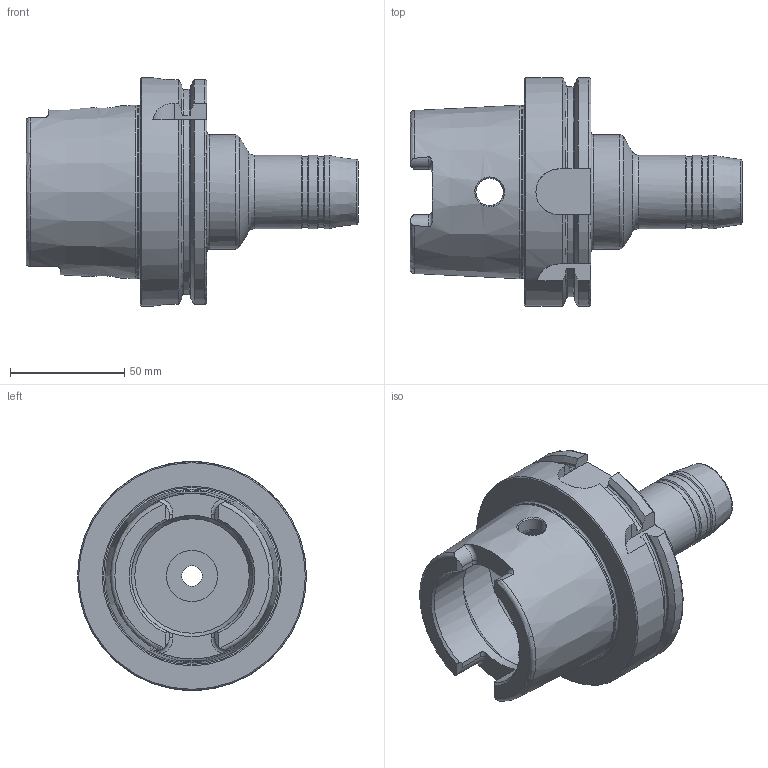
import math

import cadquery as cq


overall_length = 145.0
shank_length = 50.0
taper_end_diameter = 75.8
taper_end_x = -2.2
taper_slope = 0.05
shank_lip_fillet = 1.9
neck_diameter = 75.42
neck_start_x = -1.45
neck_fillet = 0.9
face_recess_depth = 0.15
face_recess_radius = 39.2

bore_diameter = 53.0
bore_mouth_chamfer = 1.0
bore_lip_x = -31.0
clamp_groove_diameter = 63.0
clamp_groove_end_x = -10.0
clamp_shoulder_angle = 48.0
bore_floor_diameter = 50.0
bore_floor_x = 0.0
seat_diameter = 22.38
seat_depth = 10.0
coolant_diameter = 8.92

slot_width = 20.0
slot_round_radius = 5.5
slot_round_top = 32.5
slot_floor_fillet = 1.7
slot_mouth_chamfer = 1.7
upper_slot_depth = 9.7
lower_slot_depth = 15.0

cross_hole_diameter = 12.0
cross_hole_chamfer = 0.5
cross_hole_x = -15.2

flange_diameter = 100.0
flange_width = 29.0
flange_front_chamfer = 0.5
flange_back_fillet = 1.0
gripper_center_x = 20.0
gripper_mouth_width = 6.8
gripper_floor_width = 3.8
gripper_floor_radius = 45.9
gripper_corner_fillet = 0.7
gripper_wall_angle = 30.0

notch_width = 20.0
notch_center_x = 15.0
notch_floor_height = 44.3
corner_notch_offset = 31.5

nose_end_x = overall_length - shank_length
boss_diameter = 50.0
boss_root_fillet = 1.2
boss_edge_fillet = 2.0
nose_diameter = 32.0
nose_cone_end_x = 48.1
nose_cone_angle = 59.0
nose_cone_fillet = 3.0
tip_taper_x = 82.4
tip_diameter = 28.2
tip_fillet = 1.0
ring_groove_diameter = 31.0
ring_groove_starts = (70.3, 77.3)
ring_groove_width = 3.2

OVERCUT = 5.0
MARGIN = 0.01


def outer_body():
    """Turned outside shape of shank, flange and nose, with its rounded edges."""
    cone_length = (boss_diameter - nose_diameter) / 2 / math.tan(math.radians(nose_cone_angle))
    boss_edge_x = nose_cone_end_x - cone_length
    flange_r = flange_diameter / 2
    neck_r = neck_diameter / 2
    taper_r = taper_end_diameter / 2
    tip_r = taper_r + taper_slope * (-shank_length - taper_end_x)
    profile = (
        cq.Workplane("XY")
        .moveTo(-shank_length, 0)
        .lineTo(-shank_length, tip_r)
        .lineTo(taper_end_x, taper_r)
        .lineTo(neck_start_x, neck_r)
        .lineTo(face_recess_depth - neck_fillet, neck_r)
        .radiusArc((face_recess_depth, neck_r + neck_fillet), -neck_fillet)
        .lineTo(0, face_recess_radius)
        .lineTo(0, flange_r - flange_front_chamfer)
        .lineTo(flange_front_chamfer, flange_r)
        .lineTo(flange_width, flange_r)
        .lineTo(flange_width, boss_diameter / 2)
        .lineTo(boss_edge_x, boss_diameter / 2)
        .lineTo(nose_cone_end_x, nose_diameter / 2)
        .lineTo(tip_taper_x, nose_diameter / 2)
        .lineTo(nose_end_x, tip_diameter / 2)
        .lineTo(nose_end_x, 0)
        .close()
    )
    body = profile.revolve(360, (0, 0, 0), (1, 0, 0))
    for x, radius, size in (
        (-shank_length, tip_r, shank_lip_fillet),
        (flange_width, flange_r, flange_back_fillet),
        (flange_width, boss_diameter / 2, boss_root_fillet),
        (boss_edge_x, boss_diameter / 2, boss_edge_fillet),
        (nose_cone_end_x, nose_diameter / 2, nose_cone_fillet),
        (nose_end_x, tip_diameter / 2, tip_fillet),
    ):
        body = body.edges(circle_at(x, radius)).fillet(size)
    return body


def circle_at(x, radius):
    """Selector for the circular edge of a given radius centred on the axis at x."""
    return cq.selectors.BoxSelector(
        (x - MARGIN, -radius - MARGIN, -radius - MARGIN),
        (x + MARGIN, radius + MARGIN, radius + MARGIN),
        boundingbox=True,
    ) - cq.selectors.BoxSelector(
        (x - MARGIN, MARGIN - radius, MARGIN - radius),
        (x + MARGIN, radius - MARGIN, radius - MARGIN),
        boundingbox=True,
    )


def shank_bore():
    """Stepped bore with an internal clamping groove, a seat and the coolant hole."""
    bore_r = bore_diameter / 2
    groove_r = clamp_groove_diameter / 2
    floor_r = bore_floor_diameter / 2
    shoulder_length = (groove_r - bore_r) / math.tan(math.radians(clamp_shoulder_angle))
    return (
        cq.Workplane("XY")
        .moveTo(-shank_length, 0)
        .lineTo(-shank_length, bore_r + bore_mouth_chamfer)
        .lineTo(-shank_length + bore_mouth_chamfer, bore_r)
        .lineTo(bore_lip_x, bore_r)
        .lineTo(bore_lip_x + shoulder_length, groove_r)
        .lineTo(clamp_groove_end_x, groove_r)
        .lineTo(bore_floor_x, floor_r)
        .lineTo(bore_floor_x, seat_diameter / 2)
        .lineTo(bore_floor_x + seat_depth, seat_diameter / 2)
        .lineTo(bore_floor_x + seat_depth, coolant_diameter / 2)
        .lineTo(nose_end_x, coolant_diameter / 2)
        .lineTo(nose_end_x, 0)
        .close()
        .revolve(360, (0, 0, 0), (1, 0, 0))
    )


def drive_slot(depth):
    """Slot at +Z in the shank end; its outer edges are rounded towards the sides."""
    half = slot_width / 2
    round_start = slot_round_top - slot_round_radius
    wide = half + slot_round_radius + OVERCUT
    outer = taper_end_diameter / 2
    diagonal = slot_round_radius * math.sqrt(0.5)
    round_y = half + slot_round_radius
    slot = (
        cq.Workplane("YZ", origin=(-shank_length - OVERCUT, 0, 0))
        .moveTo(-half, 0)
        .lineTo(-half, round_start)
        .threePointArc((-round_y + diagonal, round_start + diagonal), (-round_y, slot_round_top))
        .lineTo(-wide, slot_round_top)
        .lineTo(-wide, outer)
        .lineTo(wide, outer)
        .lineTo(wide, slot_round_top)
        .lineTo(round_y, slot_round_top)
        .threePointArc((round_y - diagonal, round_start + diagonal), (half, round_start))
        .lineTo(half, 0)
        .close()
        .extrude(depth + OVERCUT)
    )
    floor_edges = cq.selectors.BoxSelector(
        (depth - shank_length - MARGIN, MARGIN - wide, MARGIN),
        (depth - shank_length + MARGIN, wide - MARGIN, outer - MARGIN),
    )
    mouth = (
        cq.Workplane("XY", origin=(-shank_length, 0, 0))
        .moveTo(0, -half - slot_mouth_chamfer)
        .lineTo(slot_mouth_chamfer, -half)
        .lineTo(slot_mouth_chamfer, half)
        .lineTo(0, half + slot_mouth_chamfer)
        .close()
        .extrude(outer)
    )
    return slot.edges(floor_edges).fillet(slot_floor_fillet).union(mouth)


def drill_cross_hole(body):
    """Drill across the shank along Z and chamfer both outer rims."""
    drill = (
        cq.Workplane("XY", origin=(cross_hole_x, 0, 0))
        .circle(cross_hole_diameter / 2)
        .extrude(taper_end_diameter, both=True)
    )
    reach = cross_hole_diameter / 2 + MARGIN
    rim_low = clamp_groove_diameter / 2 + MARGIN
    rim_high = taper_end_diameter / 2
    upper_rim = cq.selectors.BoxSelector(
        (cross_hole_x - reach, -reach, rim_low),
        (cross_hole_x + reach, reach, rim_high),
        boundingbox=True,
    )
    lower_rim = cq.selectors.BoxSelector(
        (cross_hole_x - reach, -reach, -rim_high),
        (cross_hole_x + reach, reach, -rim_low),
        boundingbox=True,
    )
    return body.cut(drill).edges(upper_rim + lower_rim).chamfer(cross_hole_chamfer)


def gripper_groove():
    """Groove around the flange with sloped mouth, straight lower walls and rounded corners."""
    outer = flange_diameter / 2
    mouth = gripper_mouth_width / 2
    floor = gripper_floor_width / 2
    slope_bottom = outer - (mouth - floor) / math.tan(math.radians(gripper_wall_angle))
    return (
        cq.Workplane("XY", origin=(gripper_center_x, 0, 0))
        .moveTo(-mouth, outer + OVERCUT)
        .lineTo(-mouth, outer)
        .lineTo(-floor, slope_bottom)
        .lineTo(-floor, gripper_floor_radius)
        .lineTo(floor, gripper_floor_radius)
        .lineTo(floor, slope_bottom)
        .lineTo(mouth, outer)
        .lineTo(mouth, outer + OVERCUT)
        .close()
        .revolve(360, (-gripper_center_x, 0, 0), (-gripper_center_x + 1, 0, 0))
        .edges(circle_at(gripper_center_x - floor, gripper_floor_radius))
        .fillet(gripper_corner_fillet)
        .edges(circle_at(gripper_center_x + floor, gripper_floor_radius))
        .fillet(gripper_corner_fillet)
    )


def round_ended_notch(center_y, floor_z):
    """Notch open towards +X and +Z, with a half-round end towards -X."""
    half = notch_width / 2
    return (
        cq.Workplane("XY", origin=(notch_center_x, center_y, floor_z))
        .moveTo(0, half)
        .threePointArc((-half, 0), (0, -half))
        .lineTo(flange_width - notch_center_x, -half)
        .lineTo(flange_width - notch_center_x, half)
        .close()
        .extrude(flange_diameter / 2)
    )


def ring_groove(start_x):
    """Shallow groove around the nose with 45 degree flanks."""
    nose_r = nose_diameter / 2
    floor_r = ring_groove_diameter / 2
    flank = nose_r - floor_r
    return (
        cq.Workplane("XY", origin=(start_x, 0, 0))
        .moveTo(-flank, nose_r + flank)
        .lineTo(flank, floor_r)
        .lineTo(ring_groove_width - flank, floor_r)
        .lineTo(ring_groove_width + flank, nose_r + flank)
        .close()
        .revolve(360, (0, 0, 0), (1, 0, 0))
    )


top_notch = round_ended_notch(0, notch_floor_height)
corner_notch = round_ended_notch(-corner_notch_offset - notch_width / 2, corner_notch_offset)

result = drill_cross_hole(outer_body().cut(shank_bore()))
result = result.cut(drive_slot(upper_slot_depth))
result = result.cut(drive_slot(lower_slot_depth).mirror("XY"))
result = result.cut(gripper_groove())
result = result.cut(top_notch).cut(top_notch.mirror("XY"))
result = result.cut(corner_notch)
for groove_x in ring_groove_starts:
    result = result.cut(ring_groove(groove_x))